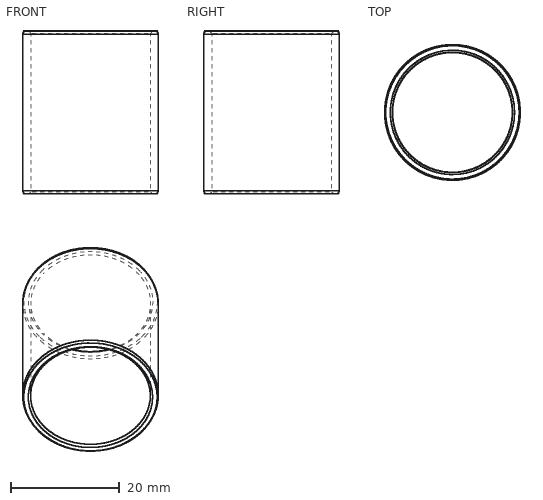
import cadquery as cq

length = 30.0
outer_diameter = 25.0
bore_diameter = 22.05

outer_bevel_height = 0.6
outer_bevel_depth = 0.2
inner_bevel = 0.42

outer_radius = outer_diameter / 2
bore_radius = bore_diameter / 2

wall_section = (
    cq.Workplane("XZ")
    .moveTo(bore_radius + inner_bevel, 0)
    .lineTo(outer_radius - outer_bevel_depth, 0)
    .lineTo(outer_radius, outer_bevel_height)
    .lineTo(outer_radius, length - outer_bevel_height)
    .lineTo(outer_radius - outer_bevel_depth, length)
    .lineTo(bore_radius + inner_bevel, length)
    .lineTo(bore_radius, length - inner_bevel)
    .lineTo(bore_radius, inner_bevel)
    .close()
)

result = wall_section.revolve(360, (0, 0, 0), (0, 1, 0))